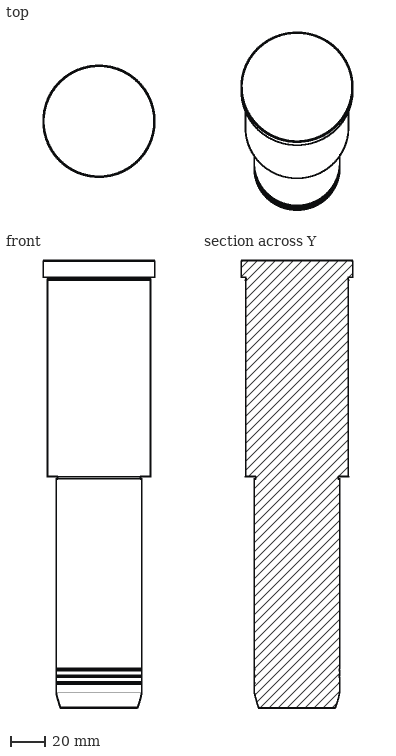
import cadquery as cq

total_length = 260.0
head_diameter = 65.0
head_height = 10.0
head_chamfer = 0.5
body_diameter = 60.0
body_length = 115.7
pin_diameter = 50.0

head_relief_width = 1.5
head_relief_depth = 0.3
pin_relief_width = 1.3
pin_relief_depth = 0.8

groove_width = 1.3
groove_depth = 0.3
groove_pitch = 4.0
groove_count = 3
lowest_groove_center = 14.5

tip_height = 9.0
tip_end_diameter = 45.2
tip_middle_diameter = 47.8
tip_chamfer = 0.5

head_bottom = total_length - head_height
body_bottom = head_bottom - body_length


def cylinder(diameter, bottom, top):
    """Cylinder on the Z axis between two heights."""
    return cq.Workplane("XY").workplane(offset=bottom).circle(diameter / 2).extrude(top - bottom)


def ring_cutter(diameter, depth, bottom, width):
    """Ring that cuts a groove into a shaft of the given diameter."""
    outer = cylinder(diameter, bottom, bottom + width)
    return outer.cut(cylinder(diameter - 2 * depth, bottom, bottom + width))


def v_ring_cutter(diameter, depth, bottom, width):
    """Ring with a triangular section that cuts a V groove into a shaft."""
    radius = diameter / 2
    return (
        cq.Workplane("XZ")
        .moveTo(radius, bottom)
        .lineTo(radius - depth, bottom + width / 2)
        .lineTo(radius, bottom + width)
        .close()
        .revolve(360, (0, 0, 0), (0, 1, 0))
    )


def make_pin():
    """Guide pin with a convex lead-in and a small chamfer at its end."""
    return (
        cq.Workplane("XZ")
        .lineTo(tip_end_diameter / 2 - tip_chamfer, 0)
        .lineTo(tip_end_diameter / 2, tip_chamfer)
        .threePointArc((tip_middle_diameter / 2, tip_height / 2), (pin_diameter / 2, tip_height))
        .lineTo(pin_diameter / 2, body_bottom)
        .lineTo(0, body_bottom)
        .close()
        .revolve(360, (0, 0, 0), (0, 1, 0))
    )


head = cylinder(head_diameter, head_bottom, total_length).faces(">Z").chamfer(head_chamfer)
body = cylinder(body_diameter, body_bottom, head_bottom)
result = make_pin().union(body).union(head)

result = result.cut(
    v_ring_cutter(body_diameter, head_relief_depth, head_bottom - head_relief_width, head_relief_width)
)
result = result.cut(
    ring_cutter(pin_diameter, pin_relief_depth, body_bottom - pin_relief_width, pin_relief_width)
)

for index in range(groove_count):
    groove_bottom = lowest_groove_center + index * groove_pitch - groove_width / 2
    result = result.cut(v_ring_cutter(pin_diameter, groove_depth, groove_bottom, groove_width))